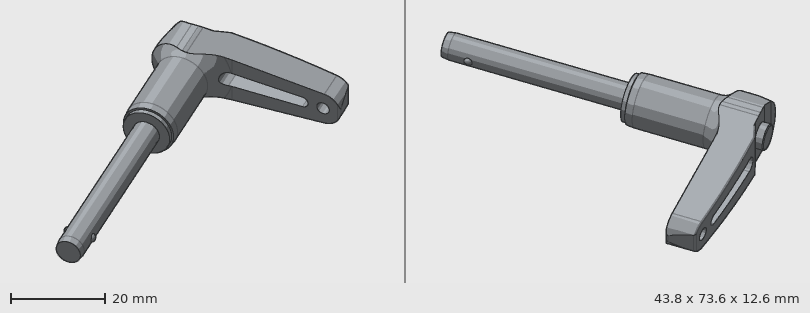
import cadquery as cq
import math


total_length = 73.6
pin_radius = 3.0
tip_radius = 2.8
tip_length = 1.6
button_radius = 2.95
button_chamfer = 0.2

ball_radius = 1.0
ball_reach = 3.6
ball_y = 6.25

barrel_radius = 5.95
barrel_rim_radius = 5.8
collar_radius = 5.4
collar_y = 42.0
rim_y = 43.1
rim_taper_y = 44.9
flare_y = 61.1
flare_radius = 3.9

half_width = 6.3
head_center_x = -2.2
bend_x = -0.65
bend_radius = 14.7
arm_end_x = 31.3
arm_end_radius = 4.05

head_bottom_y = flare_y + flare_radius
head_bottom_radius = 8.55
head_top_y = 72.3
head_top_radius = 7.6
head_lip_x = -5.0
dish_y = 71.6
dish_start_x = -3.0
dish_end_x = 2.2
crest_x = 6.25
crest_y = 73.0
arm_tip_bottom_y = 64.0
arm_tip_top_y = 70.65
arm_tip_x = arm_end_x + arm_end_radius
arm_tip_lean = 0.9
arm_crown = 0.45
tip_corner_radius = 0.6
top_edge_radius = 0.3

slot_start_x = 7.2
slot_end_x = 27.75
slot_start_radius = 1.85
slot_end_radius = 1.3
hole_radius = 1.5


def unit_point(x, radius, angle):
    """Point on a circle centred at (x, 0)."""
    return x + radius * math.cos(angle), radius * math.sin(angle)


def mirrored(point):
    return point[0], -point[1]


def extrude_along_y(sketch):
    """Extrude an XZ sketch from Y = 0 over the whole length."""
    return sketch.extrude(-total_length)


def make_pin():
    half_section = [
        (0, 0),
        (tip_radius, 0),
        (pin_radius, tip_length),
        (pin_radius, collar_y),
        (button_radius, collar_y),
        (button_radius, total_length - button_chamfer),
        (button_radius - button_chamfer, total_length),
        (0, total_length),
    ]
    pin = cq.Workplane("XY").polyline(half_section).close().revolve(360, (0, 0), (0, 1))
    for side in (-1, 1):
        center = (side * (ball_reach - ball_radius), ball_y, 0)
        pin = pin.union(cq.Workplane("XY").sphere(ball_radius).translate(center))
    return pin


def make_barrel():
    """Stepped sleeve whose upper end flares out to meet the arm."""
    flare_end_radius = barrel_radius + flare_radius
    diagonal = flare_radius * math.sqrt(0.5)
    return (
        cq.Workplane("XY")
        .moveTo(0, collar_y)
        .lineTo(collar_radius, collar_y)
        .lineTo(collar_radius, rim_y)
        .lineTo(barrel_rim_radius, rim_y)
        .lineTo(barrel_radius, rim_taper_y)
        .lineTo(barrel_radius, flare_y)
        .threePointArc(
            (flare_end_radius - diagonal, flare_y + diagonal),
            (flare_end_radius, head_bottom_y),
        )
        .lineTo(0, head_bottom_y)
        .close()
        .revolve(360, (0, 0), (0, 1))
    )


def make_plan():
    """Handle outline: round head, slight bend, tapered sides, round arm end."""
    bend_center_z = half_width - bend_radius
    span = arm_end_x - bend_x
    axis_angle = math.atan2(-bend_center_z, span)
    center_distance = math.hypot(span, bend_center_z)
    normal = axis_angle + math.acos((bend_radius - arm_end_radius) / center_distance)

    def on_bend(angle):
        x, z = unit_point(bend_x, bend_radius, angle)
        return x, z + bend_center_z

    bend_middle = on_bend((normal + math.pi / 2) / 2)
    bend_end = on_bend(normal)
    arm_tangent = unit_point(arm_end_x, arm_end_radius, normal)
    return extrude_along_y(
        cq.Workplane("XZ")
        .moveTo(head_center_x, half_width)
        .lineTo(bend_x, half_width)
        .threePointArc(bend_middle, bend_end)
        .lineTo(*arm_tangent)
        .threePointArc((arm_tip_x, 0), mirrored(arm_tangent))
        .lineTo(*mirrored(bend_end))
        .threePointArc(mirrored(bend_middle), (bend_x, -half_width))
        .lineTo(head_center_x, -half_width)
        .threePointArc((head_center_x - half_width, 0), (head_center_x, half_width))
        .close()
    )


def make_side_profile():
    """Side shape of the handle, with a dish around the button and a leaning tip."""
    tip_top_x = arm_tip_x - arm_tip_lean
    crown_middle = ((crest_x + tip_top_x) / 2, (crest_y + arm_tip_top_y) / 2 + arm_crown)
    return (
        cq.Workplane("XY")
        .workplane(offset=-half_width)
        .moveTo(-head_bottom_radius, head_bottom_y)
        .lineTo(barrel_radius + flare_radius, head_bottom_y)
        .lineTo(arm_tip_x, arm_tip_bottom_y)
        .lineTo(tip_top_x, arm_tip_top_y)
        .threePointArc(crown_middle, (crest_x, crest_y))
        .lineTo(dish_end_x, dish_y)
        .lineTo(dish_start_x, dish_y)
        .lineTo(head_lip_x, head_top_y)
        .lineTo(-head_bottom_radius, head_top_y)
        .close()
        .extrude(2 * half_width)
    )


def round_arm_tip(profile):
    """Round the two corners of the side profile at the far end of the arm."""
    corners = profile.edges("|Z").filter(lambda edge: edge.Center().x > arm_end_x)
    return corners.fillet(tip_corner_radius)


def make_head_cone():
    """Cone about the pin axis that trims the back of the head."""
    slope = (head_bottom_radius - head_top_radius) / (head_top_y - head_bottom_y)
    top_radius = head_top_radius - slope * (total_length - head_top_y)
    return (
        cq.Workplane("XY")
        .polyline([
            (0, 0),
            (head_bottom_radius, 0),
            (head_bottom_radius, head_bottom_y),
            (top_radius, total_length),
            (0, total_length),
        ])
        .close()
        .revolve(360, (0, 0), (0, 1))
    )


def make_arm_openings():
    start_x = slot_start_x + slot_start_radius
    end_x = slot_end_x - slot_end_radius
    normal = math.acos((slot_start_radius - slot_end_radius) / (end_x - start_x))
    start_tangent = unit_point(start_x, slot_start_radius, normal)
    end_tangent = unit_point(end_x, slot_end_radius, normal)
    slot = extrude_along_y(
        cq.Workplane("XZ")
        .moveTo(*start_tangent)
        .lineTo(*end_tangent)
        .threePointArc((slot_end_x, 0), mirrored(end_tangent))
        .lineTo(*mirrored(start_tangent))
        .threePointArc((slot_start_x, 0), start_tangent)
        .close()
    )
    hole = extrude_along_y(cq.Workplane("XZ").center(arm_end_x, 0).circle(hole_radius))
    return slot.union(hole)


def is_arm_top_rim(edge):
    middle = edge.Center()
    return middle.y > dish_y and dish_end_x < middle.x < arm_end_x


def make_handle():
    side_profile = make_side_profile()
    barrel = make_barrel()
    body = side_profile.union(barrel).intersect(make_plan())
    arm_side = cq.Workplane("XY").box(
        arm_tip_x, total_length, 2 * half_width, centered=(False, False, True)
    )
    body = body.intersect(make_head_cone().union(arm_side))
    rims = body.edges("not |Z").filter(is_arm_top_rim)
    body = rims.fillet(top_edge_radius)
    body = body.intersect(round_arm_tip(side_profile).union(barrel))
    return body.cut(make_arm_openings())


result = make_handle().union(make_pin())